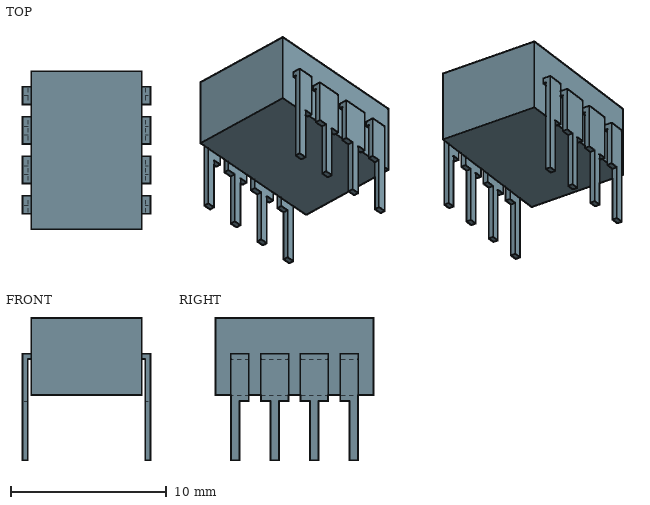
import cadquery as cq

overall_width = 8.25
body_width = 7.112
body_length = 10.16
body_height = 4.953

lead_pitch = 2.54
leads_per_side = 4
lead_thickness = 0.356
pin_width = 0.559
shoulder_width = 1.77

overall_height = 9.15
lead_top = 6.858
shoulder_bottom = 3.81

body_bottom = overall_height - body_height
lead_outer_x = overall_width / 2
lead_reach = (overall_width - body_width) / 2


def block(x_range, y_range, z_range):
    """Rectangular block spanning the given (low, high) ranges."""
    low = (x_range[0], y_range[0], z_range[0])
    size = (x_range[1] - x_range[0], y_range[1] - y_range[0], z_range[1] - z_range[0])
    return cq.Workplane("XY").box(*size, centered=False).translate(low)


def make_body():
    half_width = body_width / 2
    half_length = body_length / 2
    return block(
        (-half_width, half_width),
        (-half_length, half_length),
        (body_bottom, overall_height),
    )


def make_lead(index):
    """Lead on the +X side: arm out of the body, wide shoulder, narrow pin."""
    center_y = (index - (leads_per_side - 1) / 2) * lead_pitch
    pin_low = center_y - pin_width / 2
    pin_high = center_y + pin_width / 2

    shoulder_low = pin_low if index == 0 else center_y - shoulder_width / 2
    shoulder_high = pin_high if index == leads_per_side - 1 else center_y + shoulder_width / 2

    blade_x = (lead_outer_x - lead_thickness, lead_outer_x)
    shoulder_x = (lead_outer_x - lead_reach, lead_outer_x)
    gap_x = (shoulder_x[0], blade_x[0])
    shoulder_y = (shoulder_low, shoulder_high)

    shoulder = block(shoulder_x, shoulder_y, (shoulder_bottom, lead_top))
    gap = block(gap_x, shoulder_y, (shoulder_bottom, lead_top - lead_thickness))
    pin = block(blade_x, (pin_low, pin_high), (0, shoulder_bottom))
    return shoulder.cut(gap).union(pin)


result = make_body()
for lead_index in range(leads_per_side):
    lead = make_lead(lead_index)
    result = result.union(lead).union(lead.mirror("YZ"))